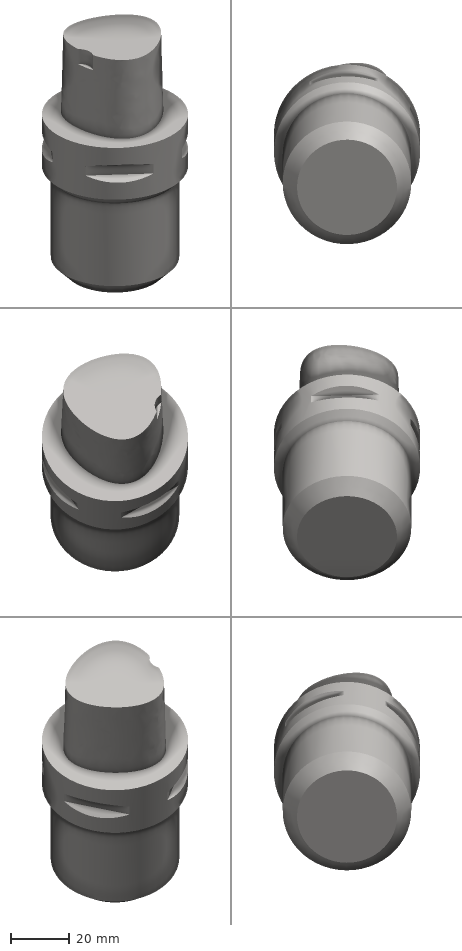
import cadquery as cq
import math

TOTAL_HEIGHT = 90.0
FLANGE_TOP = 60.0
FLANGE_EDGE = 40.05
BOTTOM_CHAMFER = 5.0

FLANGE_RADIUS = 50.0 / 2
BODY_RADIUS = 44.0 / 2
BOTTOM_RADIUS = 17.1

SHANK_RADIUS = 17.5
SHANK_TAPER = 1 / 20
LOBE_OFFSET = 1.2
PROFILE_POINTS = 72

GROOVE_COUNT = 4
GROOVE_FIRST_ANGLE = 45.0
GROOVE_Z = 50.0
GROOVE_FLOOR_HEIGHT = 3.6
GROOVE_FLOOR_DISTANCE = 22.1
GROOVE_FLANK_ANGLE = 30.0

NOTCH_DEPTH = 5.7
NOTCH_RADIUS = 5.0
NOTCH_BACK_Y = -14.0

CLEARANCE = 0.9


def make_body():
    """Turned body with a wide flange and two conical transitions."""
    flange_bottom = FLANGE_EDGE - (FLANGE_RADIUS - BODY_RADIUS)
    outline = [
        (0, 0),
        (BOTTOM_RADIUS, 0),
        (BODY_RADIUS, BOTTOM_CHAMFER),
        (BODY_RADIUS, flange_bottom),
        (FLANGE_RADIUS, FLANGE_EDGE),
        (FLANGE_RADIUS, FLANGE_TOP),
        (0, FLANGE_TOP),
    ]
    return cq.Workplane("XZ").polyline(outline).close().revolve(360, (0, 0), (0, 1))


def lobed_profile(radius, z):
    """Closed trochoid with three lobes, one of them pointing to +Y."""
    points = []
    for index in range(PROFILE_POINTS):
        angle = 2 * math.pi * index / PROFILE_POINTS
        x = radius * math.sin(angle) - LOBE_OFFSET * math.sin(2 * angle)
        y = radius * math.cos(angle) + LOBE_OFFSET * math.cos(2 * angle)
        points.append(cq.Vector(x, y, z))
    return cq.Wire.assembleEdges([cq.Edge.makeSpline(points, periodic=True)])


def make_shank():
    shank_height = TOTAL_HEIGHT - FLANGE_TOP
    top_radius = SHANK_RADIUS - shank_height * SHANK_TAPER / 2
    lower = lobed_profile(SHANK_RADIUS, FLANGE_TOP)
    upper = lobed_profile(top_radius, TOTAL_HEIGHT)
    return cq.Workplane(obj=cq.Solid.makeLoft([lower, upper], True))


def make_groove_cutter():
    """Straight trapezoidal bar lying across the +X side of the flange."""
    outer_x = FLANGE_RADIUS + CLEARANCE
    flank_rise = (outer_x - GROOVE_FLOOR_DISTANCE) * math.tan(math.radians(GROOVE_FLANK_ANGLE))
    floor_half = GROOVE_FLOOR_HEIGHT / 2
    mouth_half = floor_half + flank_rise
    section = [
        (GROOVE_FLOOR_DISTANCE, GROOVE_Z - floor_half),
        (outer_x, GROOVE_Z - mouth_half),
        (outer_x, GROOVE_Z + mouth_half),
        (GROOVE_FLOOR_DISTANCE, GROOVE_Z + floor_half),
    ]
    return cq.Workplane("XZ").polyline(section).close().extrude(FLANGE_RADIUS, both=True)


def make_notch_cutter():
    return (
        cq.Workplane("XY", origin=(0, NOTCH_BACK_Y - NOTCH_RADIUS, TOTAL_HEIGHT - NOTCH_DEPTH))
        .circle(NOTCH_RADIUS)
        .extrude(NOTCH_DEPTH + CLEARANCE)
    )


result = make_body().union(make_shank()).cut(make_notch_cutter())

groove_cutter = make_groove_cutter()
for groove_index in range(GROOVE_COUNT):
    groove_angle = GROOVE_FIRST_ANGLE + groove_index * 360 / GROOVE_COUNT
    result = result.cut(groove_cutter.rotate((0, 0, 0), (0, 0, 1), groove_angle))